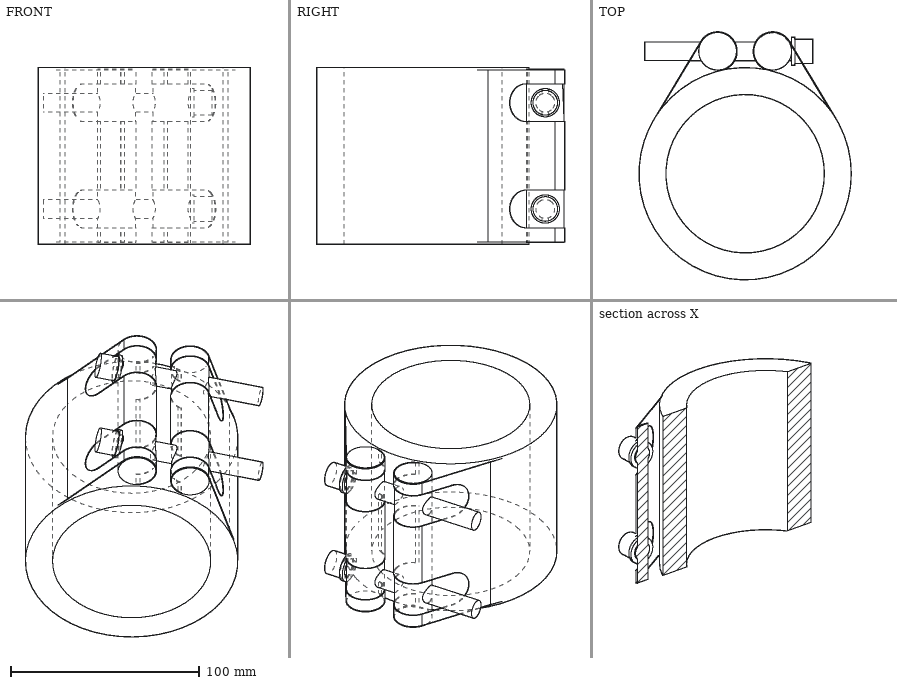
import cadquery as cq
import math

sleeve_radius = 112.9 / 2
bore_radius = 84.0 / 2
sleeve_height = 94.0

pin_radius = 20.0 / 2
pin_height = 92.3
pin_x = 14.6
pin_y = 65.0

strap_thickness = 0.4
strap_height = 91.4
wrap_radius = pin_radius + strap_thickness
slot_width = 20.0
slot_end_offset = 20.0

bolt_radius = 10.0 / 2
bolt_z = 28.2
bolt_start_x = -53.4
washer_radius = 15.0 / 2
washer_start_x = 24.5
head_radius = 13.0 / 2
head_start_x = 26.4
head_end_x = 36.0

pin_distance = math.hypot(pin_x, pin_y)
pin_angle = math.atan2(pin_y, pin_x)
tangent_angle = pin_angle - math.acos((sleeve_radius - wrap_radius) / pin_distance)
wrap_end_angle = pin_angle + math.pi


def polar(center_x, center_y, radius, angle):
    return (center_x + radius * math.cos(angle), center_y + radius * math.sin(angle))


def cylinder(radius, height, x, y):
    return cq.Workplane("XY", origin=(x, y, -height / 2)).circle(radius).extrude(height)


def x_rod(radius, start_x, end_x, z):
    plane = cq.Workplane("YZ", origin=(start_x, pin_y, z))
    return plane.circle(radius).extrude(end_x - start_x)


def make_strap():
    """Right-hand strap: a straight flank, then a wrap over the pin down to the sleeve."""
    wrap_middle_angle = (tangent_angle + wrap_end_angle) / 2
    inner_radius = sleeve_radius - strap_thickness
    strap = (
        cq.Workplane("XY", origin=(0, 0, -strap_height / 2))
        .moveTo(*polar(0, 0, sleeve_radius, tangent_angle))
        .lineTo(*polar(pin_x, pin_y, wrap_radius, tangent_angle))
        .threePointArc(
            polar(pin_x, pin_y, wrap_radius, wrap_middle_angle),
            polar(pin_x, pin_y, wrap_radius, wrap_end_angle),
        )
        .lineTo(*polar(pin_x, pin_y, pin_radius, wrap_end_angle))
        .threePointArc(
            polar(pin_x, pin_y, pin_radius, wrap_middle_angle),
            polar(pin_x, pin_y, pin_radius, tangent_angle),
        )
        .lineTo(*polar(0, 0, inner_radius, tangent_angle))
        .close()
        .extrude(strap_height)
    )
    for z in (-bolt_z, bolt_z):
        strap = strap.cut(make_slot(z))
    return strap


def make_slot(z):
    """Round-ended cutter square to the flank, open past the top of the pin."""
    flank_plane = cq.Plane(
        origin=(*polar(0, 0, sleeve_radius + strap_thickness, tangent_angle), z),
        xDir=(-math.sin(tangent_angle), math.cos(tangent_angle), 0),
        normal=(math.cos(tangent_angle), math.sin(tangent_angle), 0),
    )
    half_width = slot_width / 2
    arc_start = slot_end_offset + half_width
    open_end = pin_distance
    cutter_depth = 2 * wrap_radius + 2 * strap_thickness
    return (
        cq.Workplane(flank_plane)
        .moveTo(open_end, -half_width)
        .lineTo(arc_start, -half_width)
        .threePointArc((slot_end_offset, 0), (arc_start, half_width))
        .lineTo(open_end, half_width)
        .close()
        .extrude(-cutter_depth)
    )


def make_bolt(z):
    shank = x_rod(bolt_radius, bolt_start_x, head_end_x, z)
    washer = x_rod(washer_radius, washer_start_x, head_start_x, z)
    head = x_rod(head_radius, head_start_x, head_end_x, z)
    return shank.union(washer).union(head)


right_strap = make_strap()
left_strap = right_strap.mirror("YZ")

result = cylinder(sleeve_radius, sleeve_height, 0, 0)
result = result.union(right_strap).union(left_strap)
result = result.cut(cylinder(bore_radius, sleeve_height, 0, 0))
for x in (-pin_x, pin_x):
    result = result.union(cylinder(pin_radius, pin_height, x, pin_y))
for z in (-bolt_z, bolt_z):
    result = result.union(make_bolt(z))